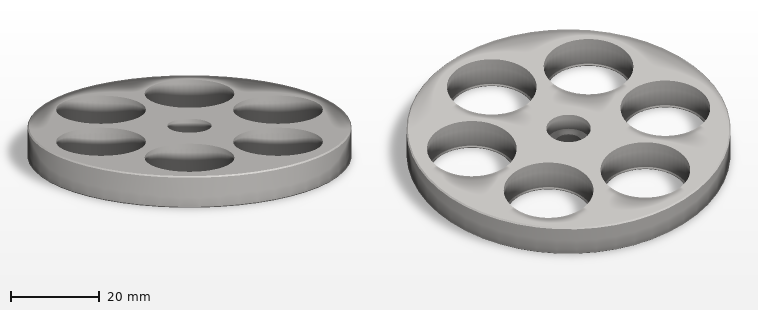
import cadquery as cq

disc_diameter = 73.0
disc_thickness = 7.5
rim_chamfer = 0.3

pocket_count = 6
pocket_circle_radius = 23.0
pocket_diameter = 20.2
pocket_opening_diameter = 19.2
ledge_thickness = 0.5
opening_chamfer = rim_chamfer
opening_chamfer_angle = 45

centre_hole_diameter = 6.0
counterbore_diameter = 10.0
counterbore_depth = 4.0


def make_disc():
    """Plain disc standing on Z = 0, chamfered around both rims."""
    disc = cq.Workplane("XY").circle(disc_diameter / 2).extrude(disc_thickness)
    return disc.edges("%CIRCLE").chamfer(rim_chamfer)


def stepped_hole_cutter(hole_diameter, wide_diameter, wide_depth):
    """Through hole on the Z axis, widened from the top face down to wide_depth."""
    hole = cq.Workplane("XY").circle(hole_diameter / 2).extrude(disc_thickness)
    wide_floor = cq.Workplane("XY").workplane(offset=disc_thickness - wide_depth)
    return hole.union(wide_floor.circle(wide_diameter / 2).extrude(wide_depth))


def cut_pockets(body):
    """Cut the pockets at equal angles, the first one on the +X axis.

    Each opening is chamfered where it leaves the bottom face.
    """
    pocket_depth = disc_thickness - ledge_thickness
    cutter = stepped_hole_cutter(pocket_opening_diameter, pocket_diameter, pocket_depth)
    chamfer_cone = cq.Workplane("XY").circle(pocket_opening_diameter / 2 + opening_chamfer)
    chamfer_cone = chamfer_cone.extrude(opening_chamfer, taper=opening_chamfer_angle)
    cutter = cutter.union(chamfer_cone).translate((pocket_circle_radius, 0, 0))
    for index in range(pocket_count):
        angle = index * 360 / pocket_count
        body = body.cut(cutter.rotate((0, 0, 0), (0, 0, 1), angle))
    return body


def cut_centre_hole(body):
    """Cut the counterbored hole on the disc axis."""
    return body.cut(stepped_hole_cutter(centre_hole_diameter, counterbore_diameter, counterbore_depth))


result = cut_centre_hole(cut_pockets(make_disc()))